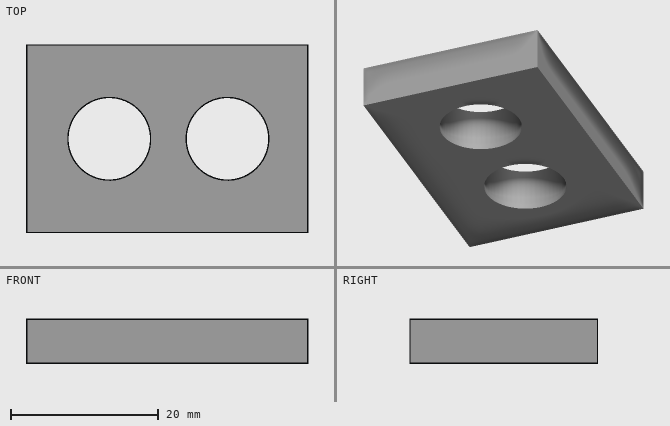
import cadquery as cq

length = 38.1
width = 25.4
thickness = 6.0

hole_diameter = 11.15
hole_spacing = 16.0
pair_offset = 0.15

plate = cq.Workplane("XY").box(length, width, thickness)

hole_centers = [(pair_offset + side * hole_spacing / 2, 0) for side in (-1, 1)]

result = plate.faces(">Z").workplane().pushPoints(hole_centers).hole(hole_diameter)